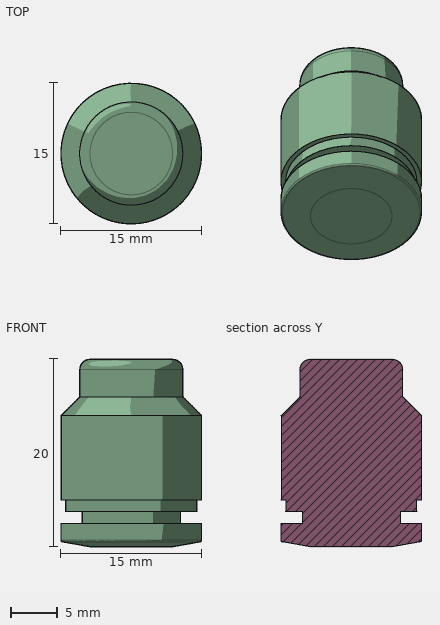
import cadquery as cq

total_height = 20.0
flange_top = 2.5
neck_top = 3.75
body_bottom = 5.0
body_top = 14.0
plunger_bottom = 16.0

body_diameter = 15.0
step_diameter = 14.0
neck_diameter = 10.5
plunger_diameter = 11.0
base_flat_diameter = 8.68

plunger_edge_radius = 1.1
base_cone_height = 0.55
flange_edge_radius = 0.2

body_radius = body_diameter / 2
step_radius = step_diameter / 2
neck_radius = neck_diameter / 2
plunger_radius = plunger_diameter / 2
base_flat_radius = base_flat_diameter / 2

profile = (
    cq.Workplane("XZ")
    .lineTo(base_flat_radius, 0)
    .lineTo(body_radius, base_cone_height)
    .lineTo(body_radius, flange_top)
    .lineTo(neck_radius, flange_top)
    .lineTo(neck_radius, neck_top)
    .lineTo(step_radius, neck_top)
    .lineTo(step_radius, body_bottom)
    .lineTo(body_radius, body_bottom)
    .lineTo(body_radius, body_top)
    .lineTo(plunger_radius, plunger_bottom)
    .lineTo(plunger_radius, total_height)
    .lineTo(0, total_height)
    .close()
)

turned_body = profile.revolve(360, (0, 0, 0), (0, 1, 0))

rounded_plunger = turned_body.faces(">Z").edges().fillet(plunger_edge_radius)

flange_rim = cq.selectors.BoxSelector(
    (-body_diameter, -body_diameter, base_cone_height / 2),
    (body_diameter, body_diameter, (base_cone_height + flange_top) / 2),
)
result = rounded_plunger.edges("%CIRCLE").edges(flange_rim).fillet(flange_edge_radius)